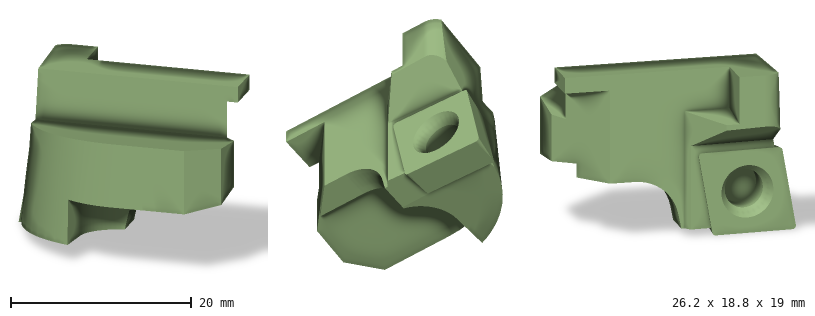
import cadquery as cq
import math

OVERSIZE = 40.0
CLEARANCE = 1.0

length = 26.24
depth = 18.8
height = 19.0

rail_front = 9.8
rail_back = 14.33
arm_end = 7.47
arm_corner_radius = 2.2
arm_corner_left = 2.3
rail_lip_bottom = 17.2

flange_top_front = 14.4
flange_top_root = 13.0
flange_lip_front = 7.02
lip_slope = math.radians(5.7)
front_chamfer = 3.3
end_bevel_x = 1.25
end_bevel_y = 1.45

wall_radius = 12.6
wall_lean = 4.8
wall_axis_x = 13.55

head_bottom = 0.82
head_bottom_slope = math.radians(6.0)
core_front = 10.9
recess_left = 9.28
recess_radius = 5.2
core_bottom = 6.52
core_corner_x = 12.95
core_side_lean = math.radians(12)
core_fillet = 5.0

side_skew = 3.1
nose_radius = 0.4
side_back_x = 2.52
fold_level = 10.4
side_back_y = 14.5
upper_side_lean = math.radians(3.15)
lower_side_lean = math.radians(10)
gullet_angle = math.radians(33)

ledge_level = 13.6
ledge_slope = math.radians(8.2)
gullet_edge_x = 8.95
gullet_rail_x = 12.6

insert_edge = 9.67
insert_thickness = 3.97
insert_angle = math.radians(80)
insert_run = insert_edge * math.cos(insert_angle)
insert_rise = insert_edge * math.sin(insert_angle)
insert_relief = 7.0
insert_corner_radius = 0.4
insert_skew = 2.5
insert_hole = 4.4
insert_countersink = 6.0
countersink_angle = 60
insert_x = -0.08
rake_y = 14.76


def prism_x(points, start=-OVERSIZE, end=OVERSIZE):
    """Extrude a (Y, Z) outline along X."""
    return cq.Workplane("YZ").workplane(offset=start).polyline(points).close().extrude(end - start)


def prism_z(points, start=-OVERSIZE, end=OVERSIZE):
    """Extrude an (X, Y) outline along Z."""
    return cq.Workplane("XY").workplane(offset=start).polyline(points).close().extrude(end - start)


def skewed(shape):
    """Turn a shape by the skew angle about the vertical line at the rear corner of the left side."""
    pivot = (side_back_x, side_back_y)
    return shape.rotate((*pivot, 0), (*pivot, 1), side_skew)


def side_profile():
    rise = core_front * math.tan(head_bottom_slope)
    return prism_x([
        (0, head_bottom + rise),
        (core_front, head_bottom),
        (depth, head_bottom),
        (depth, height),
        (rail_front, height),
        (rail_front, flange_top_root),
        (0, flange_top_front),
    ], 0, length)


def outer_wall():
    left = wall_axis_x - wall_radius
    diagonal = wall_radius * math.sqrt(0.5)
    wall = (
        cq.Workplane("XY").workplane(offset=-OVERSIZE)
        .moveTo(OVERSIZE, 0)
        .lineTo(wall_axis_x, 0)
        .threePointArc((wall_axis_x - diagonal, wall_radius - diagonal), (left, wall_radius))
        .lineTo(-OVERSIZE, wall_radius)
        .lineTo(-OVERSIZE, OVERSIZE)
        .lineTo(OVERSIZE, OVERSIZE)
        .close()
        .extrude(2 * OVERSIZE)
    )
    return wall.rotate((wall_axis_x, 0, 0), (wall_axis_x, 1, 0), wall_lean)


def left_side():
    """Space left of the two leaning side planes and below the head, with a rounded inside corner."""
    top = height + CLEARANCE
    bottom = -CLEARANCE
    head_x = side_back_x - (fold_level - head_bottom) * math.tan(lower_side_lean)
    top_x = side_back_x + (top - fold_level) * math.tan(upper_side_lean)
    side = (
        cq.Workplane("XZ").workplane(offset=-OVERSIZE)
        .polyline([
            (OVERSIZE, head_bottom),
            (head_x, head_bottom),
            (side_back_x, fold_level),
            (top_x, top),
            (-OVERSIZE, top),
            (-OVERSIZE, bottom),
            (OVERSIZE, bottom),
        ])
        .close()
        .extrude(2 * OVERSIZE)
    )
    nose_edge = cq.selectors.NearestToPointSelector((head_x, 0, head_bottom))
    return skewed(side.edges("|Y").edges(nose_edge).fillet(nose_radius))


def rear_undercut():
    """Space behind the head and below the sloping underside of the arm."""
    rise = (OVERSIZE - side_back_y) * math.tan(gullet_angle)
    return skewed(prism_x([
        (side_back_y, -CLEARANCE),
        (side_back_y, fold_level),
        (OVERSIZE, fold_level + rise),
        (OVERSIZE, -CLEARANCE),
    ]))


def arm_corner():
    x = arm_corner_left + arm_corner_radius
    y = depth - arm_corner_radius
    outer_x = arm_corner_left - CLEARANCE
    outer_y = depth + CLEARANCE
    corner = prism_z([(outer_x, y), (x, y), (x, outer_y), (outer_x, outer_y)])
    rounding = cq.Workplane("XY").workplane(offset=-OVERSIZE).center(x, y).circle(arm_corner_radius)
    return corner.cut(rounding.extrude(2 * OVERSIZE))


def ledge_cut():
    """Space above the ledge beside the arm."""
    drop = (depth - rail_back) * math.tan(ledge_slope)
    return prism_x([
        (rail_back, ledge_level + drop),
        (OVERSIZE, ledge_level - (OVERSIZE - depth) * math.tan(ledge_slope)),
        (OVERSIZE, OVERSIZE),
        (rail_back, OVERSIZE),
    ], arm_end, OVERSIZE)


def gullet():
    """Oblique cut that limits the ledge and runs out at the rear face of the rail."""
    return prism_z([
        (gullet_edge_x, depth),
        (gullet_rail_x, rail_back),
        (OVERSIZE, rail_back),
        (OVERSIZE, depth),
    ])


def front_end_chamfer():
    return prism_z([(length - front_chamfer, 0), (length, 0), (length, front_chamfer)])


def rear_end_bevel():
    """Bevel below the rail lip; it meets the front of the rail at the end notch."""
    run = rail_back - rail_front
    return prism_z([
        (length, rail_front - end_bevel_y),
        (length - end_bevel_x, rail_front),
        (length - end_bevel_x - run * end_bevel_x / end_bevel_y, rail_back),
        (length, rail_back),
    ], end=rail_lip_bottom)


def flange_recess():
    """Recess under the flange lip, in front of the core."""
    roof = flange_lip_front + core_front * math.tan(lip_slope)
    recess = prism_x([
        (0, -CLEARANCE),
        (core_front, -CLEARANCE),
        (core_front, roof),
        (0, flange_lip_front),
    ], recess_left, OVERSIZE)
    return recess.edges("|Z").edges("<X").edges(">Y").fillet(recess_radius)


def core_relief():
    """Space below the core, with a rounded inside corner."""
    bottom = -CLEARANCE
    top_x = core_corner_x + (core_bottom - head_bottom) * math.tan(core_side_lean)
    bottom_x = core_corner_x - (head_bottom - bottom) * math.tan(core_side_lean)
    relief = (
        cq.Workplane("XZ").workplane(offset=-OVERSIZE)
        .polyline([(bottom_x, bottom), (top_x, core_bottom), (OVERSIZE, core_bottom), (OVERSIZE, bottom)])
        .close()
        .extrude(2 * OVERSIZE)
    )
    return relief.edges("|Y").edges(">Z").edges("<X").fillet(core_fillet)


def insert_blank():
    """Rhombic insert without its hole, rake face towards +Y, relief on all flanks."""
    rhombus = [(0, 0), (insert_edge, 0), (insert_edge + insert_run, insert_rise), (insert_run, insert_rise)]
    outline = cq.Sketch().polygon([*rhombus, rhombus[0]]).vertices().fillet(insert_corner_radius)
    return (
        cq.Workplane("XZ", origin=(insert_x, rake_y, 0))
        .placeSketch(outline)
        .extrude(insert_thickness, taper=insert_relief)
    )


def skewed_insert(shape):
    """Turn an insert shape about the vertical line through its leading corner."""
    return shape.rotate((insert_x, rake_y, 0), (insert_x, rake_y, 1), insert_skew)


def make_insert():
    center = (insert_x + (insert_edge + insert_run) / 2, rake_y, insert_rise / 2)
    rake_plane = cq.Plane(origin=center, xDir=(1, 0, 0), normal=(0, 1, 0))
    drilled = insert_blank().copyWorkplane(cq.Workplane(rake_plane)).cskHole(
        insert_hole, insert_countersink, countersink_angle
    )
    return skewed_insert(drilled)


def make_holder():
    holder = side_profile().intersect(outer_wall())
    for tool in (
        left_side(),
        rear_undercut(),
        arm_corner(),
        ledge_cut(),
        gullet(),
        front_end_chamfer(),
        rear_end_bevel(),
        flange_recess(),
        core_relief(),
        skewed_insert(insert_blank()),
    ):
        holder = holder.cut(tool)
    return holder


insert = make_insert()
holder = make_holder()
result = cq.Compound.makeCompound([holder.val(), insert.val()])